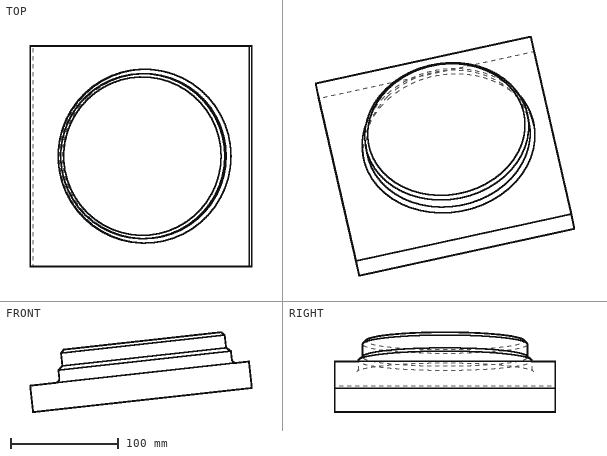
import cadquery as cq
import math

slab_length = 204.8
slab_width = 205.2
slab_thickness = 25.0
tilt_angle = 6.3

boss_offset = 6.0
boss_height = 30.0
lower_radius = 80.8
upper_radius = 76.7
foot_fillet = 3.7
shoulder_start = 11.3
shoulder_end = 14.8
top_chamfer = 3.0


def make_slab():
    """Slab whose upper face lies on Z = 0."""
    return cq.Workplane("XY").box(
        slab_length, slab_width, slab_thickness, centered=(True, True, False)
    ).translate((0, 0, -slab_thickness))


def make_boss():
    """Boss turned about Z, with a concave foot, a sloped shoulder and a chamfered rim."""
    foot_radius = lower_radius + foot_fillet
    arc_inset = foot_fillet * (1 - math.sqrt(0.5))
    profile = (
        cq.Workplane("XZ")
        .moveTo(0, -slab_thickness / 2)
        .lineTo(foot_radius, -slab_thickness / 2)
        .lineTo(foot_radius, 0)
        .threePointArc((lower_radius + arc_inset, arc_inset), (lower_radius, foot_fillet))
        .lineTo(lower_radius, shoulder_start)
        .lineTo(upper_radius, shoulder_end)
        .lineTo(upper_radius, boss_height - top_chamfer)
        .lineTo(upper_radius - top_chamfer, boss_height)
        .lineTo(0, boss_height)
        .close()
    )
    return profile.revolve(360, (0, 0, 0), (0, 1, 0)).translate((boss_offset, 0, 0))


result = make_slab().union(make_boss()).rotate((0, 0, 0), (0, 1, 0), -tilt_angle)